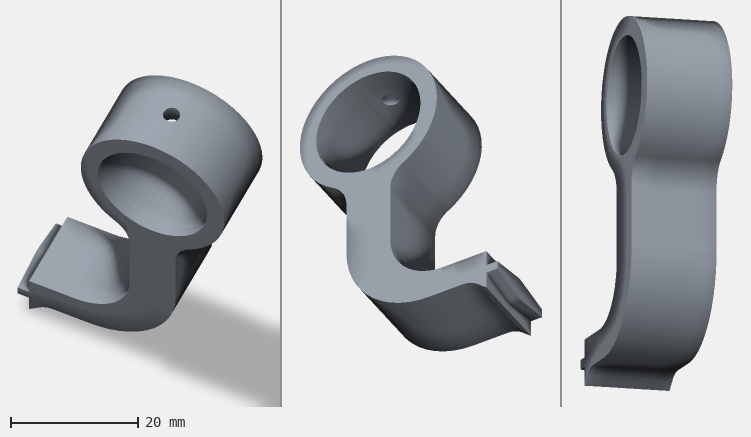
import cadquery as cq
import math

width = 14.0
ring_radius = 12.5
bore_diameter = 19.0
cross_hole_diameter = 2.7

stem_half = 4.0
neck_radius = 5.0

foot_top = -35.0
foot_bottom = -40.0
foot_end = -21.5
bend_inner_radius = 9.5
bend_outer_radius = 15.0
lip_drop = 2.4
lip_angle = math.radians(40)
lip_blend_radius = 4.0

key_length = 2.0
key_center_z = -38.62
key_mid_half = 2.05
key_side_half = 0.77
key_crest_radius = 3.0


def extrude_across(sketch):
    """Extrude an XZ outline over the full width, centred on Y = 0."""
    return sketch.extrude(width / 2, both=True)


def make_ring():
    return extrude_across(cq.Workplane("XZ").circle(ring_radius))


def make_arm():
    """Flared neck, stem, bend and foot with its hooked lip, as one profile."""
    neck_x = stem_half + neck_radius
    neck_reach = ring_radius + neck_radius
    neck_z = -math.sqrt(neck_reach**2 - neck_x**2)
    ring_touch_x = neck_x * ring_radius / neck_reach
    ring_touch_z = neck_z * ring_radius / neck_reach
    toward_ring = math.atan2(-neck_z, neck_x)
    neck_mid_x = neck_x - neck_radius * math.cos(toward_ring / 2)
    neck_mid_z = neck_z + neck_radius * math.sin(toward_ring / 2)

    inner_x = -stem_half - bend_inner_radius
    inner_z = foot_top + bend_inner_radius
    outer_x = stem_half - bend_outer_radius
    outer_z = foot_bottom + bend_outer_radius
    diagonal = math.cos(math.radians(45))

    blend_reach = lip_blend_radius * math.tan(lip_angle / 2)
    lip_corner_x = foot_end + lip_drop / math.tan(lip_angle)
    lip_start_x = lip_corner_x + blend_reach
    lip_mid_x = lip_start_x - lip_blend_radius * math.sin(lip_angle / 2)
    lip_mid_z = foot_bottom - lip_blend_radius * (1 - math.cos(lip_angle / 2))
    lip_face_x = lip_corner_x - blend_reach * math.cos(lip_angle)
    lip_face_z = foot_bottom - blend_reach * math.sin(lip_angle)

    outline = (
        cq.Workplane("XZ")
        .moveTo(0, 0)
        .lineTo(ring_touch_x, ring_touch_z)
        .threePointArc((neck_mid_x, neck_mid_z), (stem_half, neck_z))
        .lineTo(stem_half, outer_z)
        .threePointArc(
            (outer_x + bend_outer_radius * diagonal, outer_z - bend_outer_radius * diagonal),
            (outer_x, foot_bottom),
        )
        .lineTo(lip_start_x, foot_bottom)
        .threePointArc((lip_mid_x, lip_mid_z), (lip_face_x, lip_face_z))
        .lineTo(foot_end, foot_bottom - lip_drop)
        .lineTo(foot_end, foot_top)
        .lineTo(inner_x, foot_top)
        .threePointArc(
            (inner_x + bend_inner_radius * diagonal, inner_z - bend_inner_radius * diagonal),
            (-stem_half, inner_z),
        )
        .lineTo(-stem_half, neck_z)
        .threePointArc((-neck_mid_x, neck_mid_z), (-ring_touch_x, ring_touch_z))
        .close()
    )
    return extrude_across(outline)


def make_key():
    """Hexagonal key on the foot's end face, with rounded upper and lower crests."""
    flank_angle = math.atan2(key_mid_half - key_side_half, width / 2)
    crest_rise = key_crest_radius * (1 / math.cos(flank_angle) - 1)
    sharp_half = key_mid_half + crest_rise
    upper = [(-width / 2, key_side_half), (0, sharp_half), (width / 2, key_side_half)]
    lower = [(y, -z) for y, z in reversed(upper)]
    return (
        cq.Workplane("YZ", origin=(foot_end, 0, key_center_z))
        .polyline(upper + lower)
        .close()
        .extrude(-key_length)
        .edges("|X and (>Z or <Z)")
        .fillet(key_crest_radius)
    )


def make_bore():
    return extrude_across(cq.Workplane("XZ").circle(bore_diameter / 2))


def make_cross_hole():
    """Radial hole through the top of the ring wall into the bore."""
    return cq.Workplane("XY").circle(cross_hole_diameter / 2).extrude(ring_radius)


body = make_ring().union(make_arm()).union(make_key())
result = body.cut(make_bore()).cut(make_cross_hole())